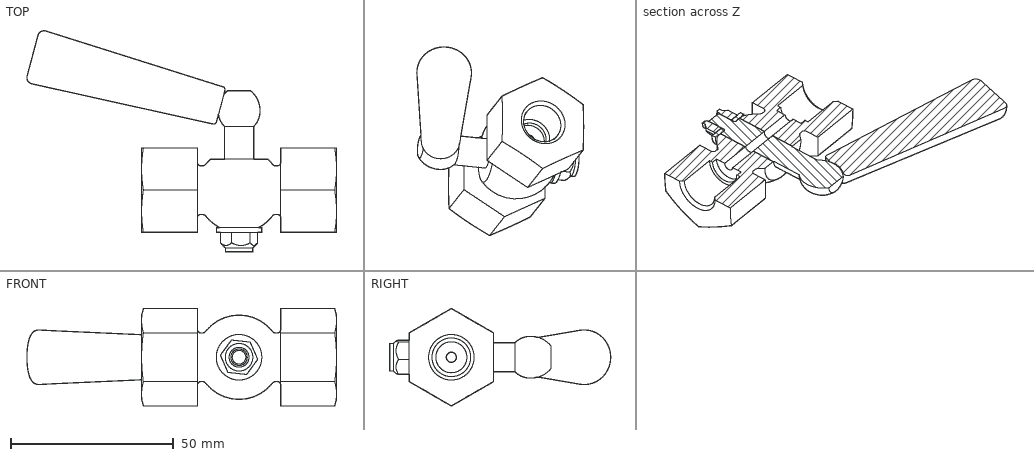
import cadquery as cq
import math

BALL_RADIUS = 26.0 / 2
BALL_TOP_Y = 9.5
BALL_BOTTOM_Y = -11.5
NECK_RADIUS = 15.0 / 2
NECK_FILLET = 0.95
RING_MARGIN = 0.1
HEX_OUTER_X = 30.0
HEX_LENGTH = 17.2
HEX_INNER_X = HEX_OUTER_X - HEX_LENGTH
HEX_ACROSS_CORNERS = 30.0
HEX_TURN = 90.0
HEX_FACE_RADIUS = 12.75
HEX_CHAMFER_ANGLE = 15.0
SOCKET_RADIUS = 11.9 / 2
SOCKET_DEPTH = 13.3
SOCKET_MOUTH_RADIUS = 14.0 / 2
RECESS_RADIUS = 9.5 / 2
RECESS_DEPTH = 1.9
FLOW_RADIUS = 3.0 / 2

STEM_RADIUS = 9.0 / 2
HEAD_RADIUS = 6.5
HEAD_CENTER_Y = 24.2
HEAD_SEAM_Y = 23.4
HEAD_DOME_MID_RADIUS = 6.0
HEAD_DOME_MID_Y = 27.1
HEAD_TOP_RADIUS = 3.5
HEAD_TOP_Y = 30.5
TAIL_RADIUS = 5.0 / 2
TAIL_TIP_RADIUS = 4.2 / 2
TAIL_SETBACK = 1.0

HANDLE_TILT = 15.0
HANDLE_AXIS_Y = 24.3
HANDLE_START = 5.8
HANDLE_LENGTH = 59.9
HANDLE_START_RADIUS = 5.9
HANDLE_HALF_TAPER = 2.5
HANDLE_START_FILLET = 0.95
HANDLE_END_FILLET = 2.0

WASHER_RADIUS = 14.0 / 2
WASHER_THICKNESS = 1.4
WASHER_BOTTOM_Y = BALL_BOTTOM_Y - WASHER_THICKNESS
NUT_ACROSS_FLATS = 10.0
NUT_TURN = 6.4
NUT_HEIGHT = 6.0
NUT_COLLAR_RADIUS = 8.5 / 2
NUT_COLLAR_HEIGHT = 1.1
NUT_CHAMFER_HEIGHT = 1.6
NUT_MOUTH_RADIUS = 6.1 / 2
NUT_BOTTOM_Y = WASHER_BOTTOM_Y - NUT_HEIGHT


def rod_x(radius, start, end):
    """Cylinder on the X axis."""
    return cq.Workplane("YZ", origin=(start, 0, 0)).circle(radius).extrude(end - start)


def rod_y(radius, start, end):
    """Cylinder on the Y axis; the XZ plane faces -Y, so it is extruded from the high end."""
    return cq.Workplane("XZ", origin=(0, end, 0)).circle(radius).extrude(end - start)


def revolve_x(points):
    """Straight-sided outline of (x, radius) points turned about the X axis."""
    return cq.Workplane("XY").polyline(points).close().revolve(360, (0, 0, 0), (1, 0, 0))


def revolve_y(points):
    """Straight-sided outline of (radius, y) points turned about the Y axis."""
    return cq.Workplane("XY").polyline(points).close().revolve(360, (0, 0, 0), (0, 1, 0))


def make_hex_end():
    """Hexagonal end at +X with corners up and down, chamfered on its outer face."""
    hexagon = (
        cq.Workplane("YZ", origin=(HEX_INNER_X, 0, 0))
        .transformed(rotate=(0, 0, HEX_TURN))
        .polygon(6, HEX_ACROSS_CORNERS)
        .extrude(HEX_LENGTH)
    )
    slope = math.tan(math.radians(HEX_CHAMFER_ANGLE))
    cone_radius = HEX_FACE_RADIUS + HEX_LENGTH / slope
    chamfer_cone = revolve_x([
        (HEX_INNER_X, 0),
        (HEX_INNER_X, cone_radius),
        (HEX_OUTER_X, HEX_FACE_RADIUS),
        (HEX_OUTER_X, 0),
    ])
    return hexagon.intersect(chamfer_cone)


def make_socket():
    """Stepped bore of the +X end: chamfered mouth, socket, recess."""
    mouth_depth = SOCKET_MOUTH_RADIUS - SOCKET_RADIUS
    floor_x = HEX_OUTER_X - SOCKET_DEPTH
    recess_x = floor_x - RECESS_DEPTH
    return revolve_x([
        (HEX_OUTER_X, 0),
        (HEX_OUTER_X, SOCKET_MOUTH_RADIUS),
        (HEX_OUTER_X - mouth_depth, SOCKET_RADIUS),
        (floor_x, SOCKET_RADIUS),
        (floor_x, RECESS_RADIUS),
        (recess_x, RECESS_RADIUS),
        (recess_x, 0),
    ])


def both_ends(shape):
    """The +X shape together with its mirror image at -X."""
    return [shape, shape.mirror("YZ")]


def make_ball():
    """Ball cut flat at both ends of the Y axis."""
    top_radius = math.sqrt(BALL_RADIUS**2 - BALL_TOP_Y**2)
    bottom_radius = math.sqrt(BALL_RADIUS**2 - BALL_BOTTOM_Y**2)
    return (
        cq.Workplane("XY")
        .moveTo(0, BALL_BOTTOM_Y)
        .lineTo(bottom_radius, BALL_BOTTOM_Y)
        .threePointArc((BALL_RADIUS, 0), (top_radius, BALL_TOP_Y))
        .lineTo(0, BALL_TOP_Y)
        .close()
        .revolve(360, (0, 0, 0), (0, 1, 0))
    )


def neck_ring_selector(x):
    """Picks the circular edge around the neck at the given x."""
    reach = NECK_RADIUS + RING_MARGIN
    return cq.selectors.BoxSelector(
        (x - RING_MARGIN, -reach, -reach), (x + RING_MARGIN, reach, reach), boundingbox=True
    )


def make_housing():
    housing = make_ball()
    housing = housing.union(rod_x(NECK_RADIUS, -HEX_INNER_X, HEX_INNER_X))
    for hex_end in both_ends(make_hex_end()):
        housing = housing.union(hex_end)
    ball_end_x = math.sqrt(BALL_RADIUS**2 - NECK_RADIUS**2)
    for ring_x in (-HEX_INNER_X, -ball_end_x, ball_end_x, HEX_INNER_X):
        housing = housing.edges(neck_ring_selector(ring_x)).fillet(NECK_FILLET)
    for socket in both_ends(make_socket()):
        housing = housing.cut(socket)
    housing = housing.cut(rod_x(FLOW_RADIUS, -HEX_OUTER_X, HEX_OUTER_X))
    return housing.cut(rod_y(STEM_RADIUS, BALL_BOTTOM_Y, BALL_TOP_Y))


def make_stem():
    tail_end_y = NUT_BOTTOM_Y + TAIL_SETBACK
    tail_chamfer = TAIL_RADIUS - TAIL_TIP_RADIUS
    shoulder_y = HEAD_CENTER_Y - math.sqrt(HEAD_RADIUS**2 - STEM_RADIUS**2)
    seam_radius = math.sqrt(HEAD_RADIUS**2 - (HEAD_SEAM_Y - HEAD_CENTER_Y) ** 2)
    mid_y = (shoulder_y + HEAD_SEAM_Y) / 2
    mid_radius = math.sqrt(HEAD_RADIUS**2 - (mid_y - HEAD_CENTER_Y) ** 2)
    turned = (
        cq.Workplane("XY")
        .moveTo(0, tail_end_y)
        .lineTo(TAIL_TIP_RADIUS, tail_end_y)
        .lineTo(TAIL_RADIUS, tail_end_y + tail_chamfer)
        .lineTo(TAIL_RADIUS, BALL_BOTTOM_Y)
        .lineTo(STEM_RADIUS, BALL_BOTTOM_Y)
        .lineTo(STEM_RADIUS, shoulder_y)
        .threePointArc((mid_radius, mid_y), (seam_radius, HEAD_SEAM_Y))
        .threePointArc((HEAD_DOME_MID_RADIUS, HEAD_DOME_MID_Y), (HEAD_TOP_RADIUS, HEAD_TOP_Y))
        .lineTo(0, HEAD_TOP_Y)
        .close()
        .revolve(360, (0, 0, 0), (0, 1, 0))
    )
    flow_hole = rod_x(FLOW_RADIUS, -STEM_RADIUS, STEM_RADIUS)
    return turned.cut(flow_hole)


def make_handle(stem):
    """Tapered grip, hollowed at its small end to seat on the stem head."""
    end = HANDLE_START + HANDLE_LENGTH
    end_radius = HANDLE_START_RADIUS + HANDLE_LENGTH * math.tan(math.radians(HANDLE_HALF_TAPER))
    grip = revolve_x([
        (-HANDLE_START, 0),
        (-HANDLE_START, HANDLE_START_RADIUS),
        (-end, end_radius),
        (-end, 0),
    ])
    grip = grip.faces(">X").edges().fillet(HANDLE_START_FILLET)
    grip = grip.faces("<X").edges().fillet(HANDLE_END_FILLET)
    grip = grip.rotate((0, 0, 0), (0, 0, 1), -HANDLE_TILT).translate((0, HANDLE_AXIS_Y, 0))
    return grip.cut(stem)


def make_washer():
    disc = rod_y(WASHER_RADIUS, WASHER_BOTTOM_Y, BALL_BOTTOM_Y)
    return disc.cut(rod_y(TAIL_RADIUS, WASHER_BOTTOM_Y, BALL_BOTTOM_Y))


def make_clamping_nut():
    """Hexagon nut with a round collar and a bore for the stem tail, chamfered at its mouth."""
    corner_radius = NUT_ACROSS_FLATS / math.sqrt(3)
    collar_top_y = NUT_BOTTOM_Y + NUT_COLLAR_HEIGHT
    hexagon = (
        cq.Workplane("XZ", origin=(0, WASHER_BOTTOM_Y, 0))
        .transformed(rotate=(0, 0, -NUT_TURN))
        .polygon(6, 2 * corner_radius)
        .extrude(NUT_HEIGHT)
    )
    envelope = revolve_y([
        (0, NUT_BOTTOM_Y),
        (NUT_COLLAR_RADIUS, NUT_BOTTOM_Y),
        (NUT_COLLAR_RADIUS, collar_top_y),
        (corner_radius, collar_top_y + NUT_CHAMFER_HEIGHT),
        (corner_radius, WASHER_BOTTOM_Y),
        (0, WASHER_BOTTOM_Y),
    ])
    mouth_depth = NUT_MOUTH_RADIUS - TAIL_RADIUS
    bore = revolve_y([
        (0, NUT_BOTTOM_Y),
        (NUT_MOUTH_RADIUS, NUT_BOTTOM_Y),
        (TAIL_RADIUS, NUT_BOTTOM_Y + mouth_depth),
        (TAIL_RADIUS, WASHER_BOTTOM_Y),
        (0, WASHER_BOTTOM_Y),
    ])
    return hexagon.intersect(envelope).cut(bore)


housing = make_housing()
stem = make_stem()
handle = make_handle(stem)
washer = make_washer()
clamping_nut = make_clamping_nut()

result = cq.Compound.makeCompound([
    housing.val(),
    stem.val(),
    handle.val(),
    washer.val(),
    clamping_nut.val(),
])